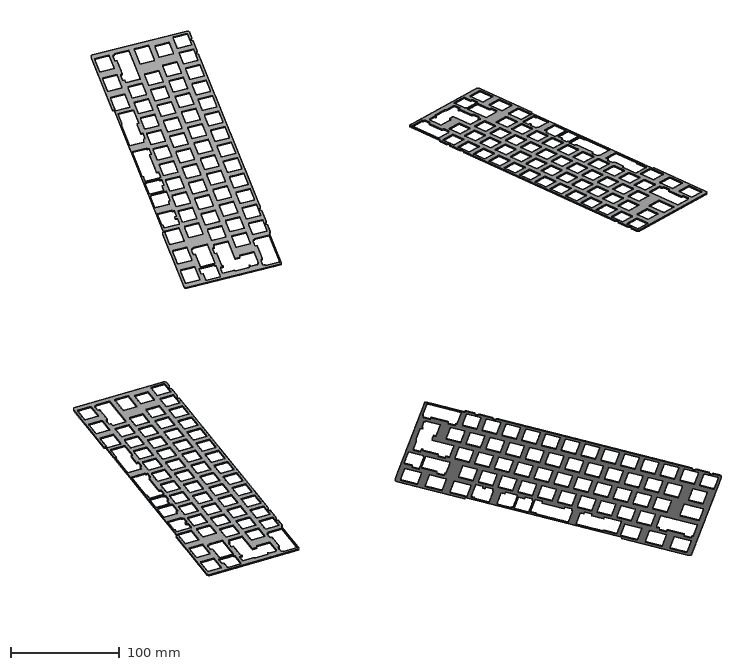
import cadquery as cq
UNIT = 19.05
COLUMNS = 15
ROWS = 5
LENGTH = COLUMNS * UNIT
WIDTH = ROWS * UNIT
THICKNESS = 1.5

SWITCH = 14.0
STAB_WIDTH = 7.0
STAB_WIRE_SIDE = 9.0
STAB_PLAIN_SIDE = 6.0
STAB_OFFSET = 11.938

INNER_CORNER = 0.499

CORNER = 2.3
BACK_RIGHT_CORNER = 1.0
EDGE_RELIEF = 1.5
FRONT_RELIEF_START = 67.3
FRONT_RELIEF_END = 217.9
BACK_RELIEF_START = 247.3
NOTCH_RADIUS = 1.8
NOTCH_DEPTH = 1.5
NOTCH_CENTERS = (10.5, 27.0, 218.9, 236.1)

WIDE_ENTER_COLUMN = 13.875
WIDE_ENTER_ROW = 2
TALL_ENTER_COLUMN = 14.375
TALL_ENTER_ROW = 1.5

SWITCH_COLUMNS = (
    [0.5 + i for i in range(15)] + [14.0],
    [0.75] + [2.0 + i for i in range(12)] + [14.25],
    [0.625, 0.875] + [2.25 + i for i in range(12)] + [WIDE_ENTER_COLUMN],
    [0.625, 1.125, 1.75] + [2.75 + i for i in range(10)] + [13.125, 13.625, 14.5],
    [0.625, 0.75, 1.875, 2.0, 3.125, 3.25]
    + [4.875, 5.5, 6.625, 6.875, 7.5, 8.625, 9.5, 10.625]
    + [11.75, 11.875, 13.0, 13.125, 14.25, 14.375],
)

STABILIZED_KEYS = ((14.0, 0), (WIDE_ENTER_COLUMN, WIDE_ENTER_ROW), (1.125, 3), (13.625, 3))

SPACE_ROW = 4
SPACE_BAR_OFFSET = 50.0
LONG_SPACE_BAR_OFFSET = 3 * UNIT
SPACE_STABS = (
    (6.625, -SPACE_BAR_OFFSET),
    (6.875, -SPACE_BAR_OFFSET),
    (7.5, -LONG_SPACE_BAR_OFFSET),
    (5.5, 0),
    (6.5, 0),
    (8.625, -STAB_OFFSET),
    (8.5, 0),
    (6.625, SPACE_BAR_OFFSET),
    (6.875, SPACE_BAR_OFFSET),
    (7.5, LONG_SPACE_BAR_OFFSET),
    (11.0, 0),
)


def column_x(column):
    return column * UNIT - LENGTH / 2


def row_y(row):
    return WIDTH / 2 - (row + 0.5) * UNIT


def block(x_min, x_max, y_min, y_max):
    """Full-thickness block between the given X and Y limits."""
    solid = cq.Workplane("XY").box(x_max - x_min, y_max - y_min, THICKNESS, centered=False)
    return solid.translate((x_min, y_min, 0))


def switch_opening(column, row):
    x = column_x(column)
    y = row_y(row)
    half = SWITCH / 2
    return block(x - half, x + half, y - half, y + half)


def switch_openings():
    openings = [switch_opening(TALL_ENTER_COLUMN, TALL_ENTER_ROW)]
    for row, columns in enumerate(SWITCH_COLUMNS):
        for column in columns:
            openings.append(switch_opening(column, row))
    return openings


def stabilizer_opening(x, y, turn):
    """Stabilizer opening with its wire side toward -Y, turned about Z by `turn` degrees."""
    half = STAB_WIDTH / 2
    opening = block(-half, half, -STAB_WIRE_SIDE, STAB_PLAIN_SIDE)
    return opening.rotate((0, 0, 0), (0, 0, 1), turn).translate((x, y, 0))


def stabilizer_openings():
    openings = []
    for offset in (-STAB_OFFSET, STAB_OFFSET):
        for column, row in STABILIZED_KEYS:
            openings.append(stabilizer_opening(column_x(column) + offset, row_y(row), 0))
        tall_enter_y = row_y(TALL_ENTER_ROW) + offset
        openings.append(stabilizer_opening(column_x(TALL_ENTER_COLUMN), tall_enter_y, -90))
    for column, offset in SPACE_STABS:
        openings.append(stabilizer_opening(column_x(column) + offset, row_y(SPACE_ROW), 180))
    return openings


def enter_joins():
    """Cuts that merge the enter openings: the gap below the tall key's switch and a flush right side."""
    wide_x = column_x(WIDE_ENTER_COLUMN)
    tall_x = column_x(TALL_ENTER_COLUMN)
    tall_y = row_y(TALL_ENTER_ROW)
    top = tall_y - SWITCH / 2
    bottom = row_y(WIDE_ENTER_ROW) - STAB_WIRE_SIDE
    gap = block(wide_x, tall_x, tall_y - STAB_OFFSET, top)
    side = block(wide_x + STAB_OFFSET, tall_x + STAB_PLAIN_SIDE, bottom, top)
    return [gap, side]


def edge_cuts():
    """Shallow reliefs along the front and back edges, and round notches in the back edge."""
    left = -LENGTH / 2
    right = LENGTH / 2
    front = -WIDTH / 2
    back = WIDTH / 2
    cuts = [
        block(left + BACK_RELIEF_START, right, back - EDGE_RELIEF, back),
        block(left + FRONT_RELIEF_START, left + FRONT_RELIEF_END, front, front + EDGE_RELIEF),
    ]
    notch_y = back - NOTCH_DEPTH + NOTCH_RADIUS
    for center in NOTCH_CENTERS:
        notch = cq.Workplane("XY").center(left + center, notch_y).circle(NOTCH_RADIUS)
        cuts.append(notch.extrude(THICKNESS))
    return cuts


def round_corners(plate):
    plate = plate.edges("|Z and (not (<X or >X))").fillet(INNER_CORNER)
    plate = plate.edges("|Z and >X").edges(">Y").fillet(BACK_RIGHT_CORNER)
    plate = plate.edges("|Z and >X").edges("<Y").fillet(CORNER)
    return plate.edges("|Z and <X").fillet(CORNER)


def build_plate():
    blank = block(-LENGTH / 2, LENGTH / 2, -WIDTH / 2, WIDTH / 2)
    cuts = edge_cuts() + switch_openings() + stabilizer_openings() + enter_joins()
    cut_solids = [cut.val() for cut in cuts]
    plate = cq.Workplane(blank.val().cut(*cut_solids))
    return cq.Workplane(round_corners(plate).solids().val())


result = build_plate()